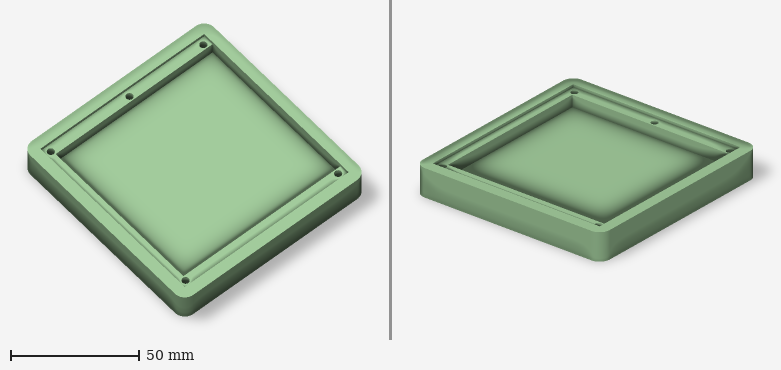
import cadquery as cq

length = 96.7
width = 94.2
height = 13.0
corner_radius = 5.0
wall = 5.0

lid_recess_depth = 1.45
pocket_depth = 7.0
side_ledge = 5.0
front_ledge = 3.6

hole_diameter = 3.2
hole_inset = 7.9
middle_hole_y = 1.3

recess_length = length - 2 * wall
recess_width = width - 2 * wall
pocket_length = recess_length - 2 * side_ledge
pocket_width = recess_width - front_ledge
hole_x = length / 2 - hole_inset
hole_y = width / 2 - hole_inset


def cavity(size_x, size_y, center_y, depth):
    """Rectangular cutter, open at the top face and reaching down to the given depth."""
    return (
        cq.Workplane("XY", origin=(0, center_y, height - depth))
        .rect(size_x, size_y)
        .extrude(depth)
    )


tray = (
    cq.Workplane("XY")
    .rect(length, width)
    .extrude(height)
    .edges("|Z")
    .fillet(corner_radius)
)

lid_recess = cavity(recess_length, recess_width, 0, lid_recess_depth)

pocket = cavity(pocket_length, pocket_width, front_ledge / 2, pocket_depth)

hole_centers = [(x, y) for x in (-hole_x, hole_x) for y in (-hole_y, hole_y)]
hole_centers.append((-hole_x, middle_hole_y))
screw_holes = (
    cq.Workplane("XY")
    .pushPoints(hole_centers)
    .circle(hole_diameter / 2)
    .extrude(height)
)

result = tray.cut(lid_recess).cut(pocket).cut(screw_holes)